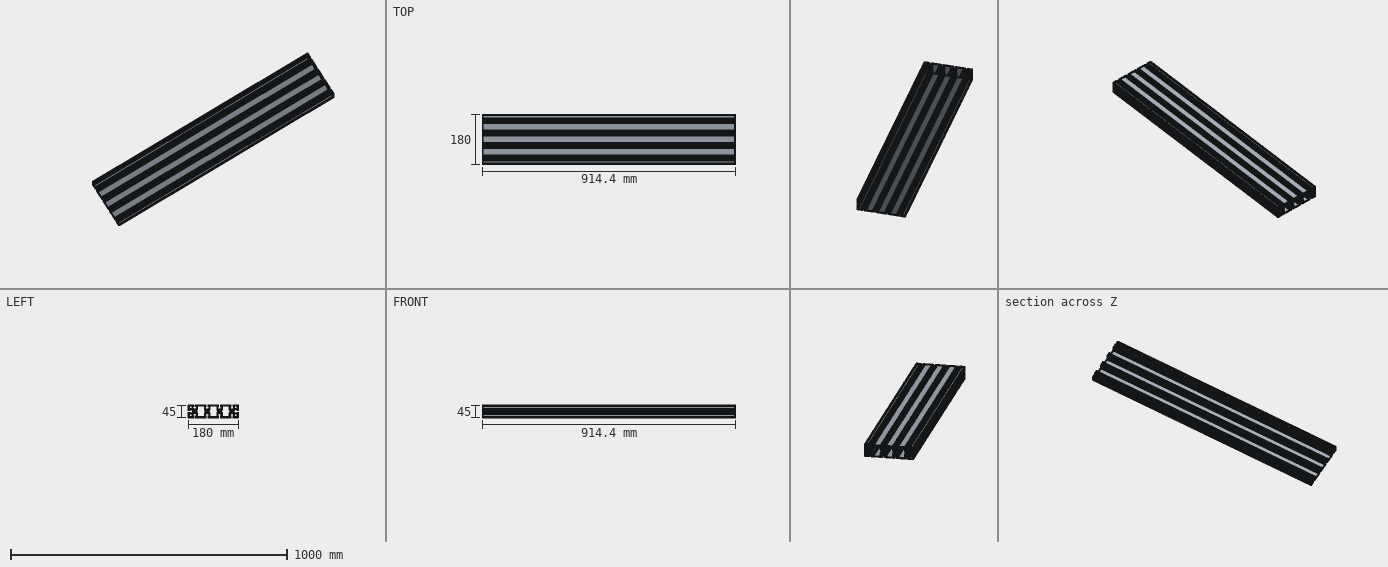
import cadquery as cq

length = 914.4
module = 45.0
slot_count = 4
width = slot_count * module
height = module
corner_radius = 2.5

slot_opening = 8.3
lip_thickness = 4.2
slot_depth = 15.5
slot_cavity_width = 14.0
slot_floor_chamfer = 3.1
groove_width = 1.6
groove_depth = 0.8

outer_wall = 2.4
slot_wall = 2.0
chamber_chamfer = 0.8
core_width = 12.9
core_recess_height = 14.7
core_bore_diameter = 7.4

half_width = width / 2
half_height = height / 2
slot_positions = [(i - (slot_count - 1) / 2) * module for i in range(slot_count)]


def mirror_points(points):
    """Reflect an outline run about the Z axis, reversing its order."""
    return [(-y, z) for y, z in reversed(points)]


def prism(profile):
    """Extrude a closed YZ profile over the full length."""
    return profile.extrude(length / 2, both=True)


def t_slot():
    """T-slot cutter opening at Y = 0 in the top face, with a V-groove in its floor."""
    half_opening = slot_opening / 2
    half_cavity = slot_cavity_width / 2
    lip_bottom = half_height - lip_thickness
    floor = half_height - slot_depth
    right_side = [
        (half_opening, half_height),
        (half_opening, lip_bottom),
        (half_cavity, lip_bottom),
        (half_cavity, floor + slot_floor_chamfer),
        (half_cavity - slot_floor_chamfer, floor),
        (groove_width / 2, floor),
    ]
    groove_bottom = (0, floor - groove_depth)
    outline = right_side + [groove_bottom] + mirror_points(right_side)
    return prism(cq.Workplane("YZ").polyline(outline).close())


def wide_chamber():
    """Hollow between two neighbouring slots, centred on Y = 0, with sides arched in towards the cores."""
    side = module / 2 - slot_cavity_width / 2 - slot_wall
    side_at_core = module / 2 - core_width / 2
    top = half_height - outer_wall
    recess = core_recess_height / 2
    profile = (
        cq.Workplane("YZ")
        .moveTo(0, top)
        .lineTo(side - chamber_chamfer, top)
        .lineTo(side, top - chamber_chamfer)
        .lineTo(side, recess)
        .threePointArc((side_at_core, 0), (side, -recess))
        .lineTo(side, chamber_chamfer - top)
        .lineTo(side - chamber_chamfer, -top)
        .lineTo(0, -top)
        .mirrorY()
    )
    return prism(profile)


def corner_chamber():
    """Chamfered square hollow in the +Y, +Z corner, between the two slots that meet there."""
    size = half_height - slot_cavity_width / 2 - slot_wall - outer_wall
    inset = outer_wall + size / 2
    square = cq.Workplane("YZ").center(half_width - inset, half_height - inset).rect(size, size)
    return prism(square).edges("|X").chamfer(chamber_chamfer)


body = cq.Workplane("XY").box(length, width, height).edges("|X").fillet(corner_radius)

upper_slot = t_slot()
lower_slot = upper_slot.mirror("XY")
bore = prism(cq.Workplane("YZ").circle(core_bore_diameter / 2))
for y in slot_positions:
    for cutter in (upper_slot, lower_slot, bore):
        body = body.cut(cutter.translate((0, y, 0)))

side_slot = upper_slot.rotate((0, 0, 0), (1, 0, 0), -90).translate((0, half_width - half_height, 0))
body = body.cut(side_slot).cut(side_slot.mirror("XZ"))

chamber = wide_chamber()
for left, right in zip(slot_positions, slot_positions[1:]):
    body = body.cut(chamber.translate((0, (left + right) / 2, 0)))

upper_corner = corner_chamber()
for corner in (upper_corner, upper_corner.mirror("XY")):
    body = body.cut(corner).cut(corner.mirror("XZ"))

result = body